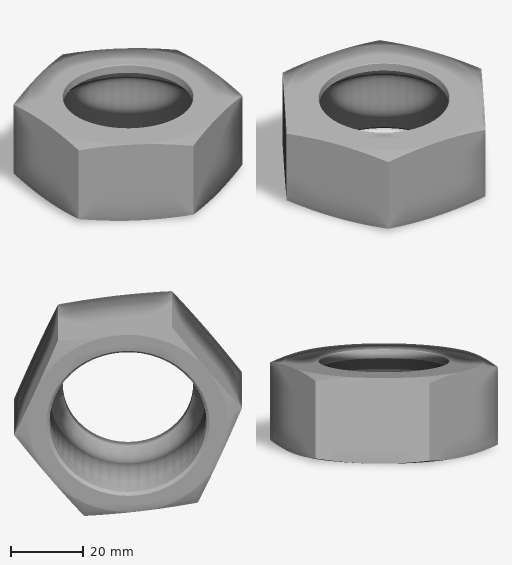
import cadquery as cq
import math

corner_diameter = 63.5
across_flats = corner_diameter * math.cos(math.radians(30))
height = 24.0

chamfer_angle = 15.0
chamfer_width = (corner_diameter - across_flats) / 2
chamfer_height = chamfer_width * math.tan(math.radians(chamfer_angle))

lip_radius = 36.0 / 2
lip_chamfer = 0.2
lip_depth = 2.5
wide_radius = 43.4 / 2
wide_chamfer = 0.8
cone_height = wide_radius - lip_radius
lip_bottom = height - lip_depth
cone_bottom = lip_bottom - cone_height


def hexagon_body():
    return (
        cq.Workplane("XY")
        .polygon(6, corner_diameter)
        .extrude(height)
        .rotate((0, 0, 0), (0, 0, 1), 30)
    )


def chamfer_envelope():
    """Round blank with conical ends that trims the hexagon's corners."""
    return (
        cq.Workplane("XY")
        .circle(corner_diameter / 2)
        .extrude(height)
        .faces("<Z or >Z")
        .chamfer(chamfer_height, chamfer_width)
    )


def stepped_bore():
    """Revolved void with a chamfer at each mouth."""
    return (
        cq.Workplane("XZ")
        .moveTo(0, 0)
        .lineTo(wide_radius + wide_chamfer, 0)
        .lineTo(wide_radius, wide_chamfer)
        .lineTo(wide_radius, cone_bottom)
        .lineTo(lip_radius, lip_bottom)
        .lineTo(lip_radius, height - lip_chamfer)
        .lineTo(lip_radius + lip_chamfer, height)
        .lineTo(0, height)
        .close()
        .revolve(360, (0, 0, 0), (0, 1, 0))
    )


result = hexagon_body().intersect(chamfer_envelope()).cut(stepped_bore())